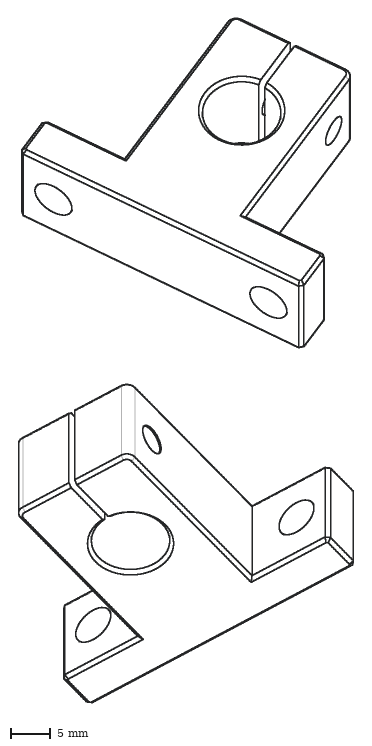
import cadquery as cq

foot_length = 42.0
foot_thickness = 6.0
stem_width = 18.0
total_height = 32.8
depth = 14.0
edge_chamfer = 0.5
stem_corner_radius = 1.25

bore_diameter = 10.0
bore_height = 20.0
slot_width = 0.9

mount_hole_diameter = 5.5
mount_hole_spacing = 32.0

screw_diameter = 4.0
screw_below_tip = 5.0
screw_recess = 0.2
screw_height = total_height - screw_below_tip


def make_body():
    """Bored foot and stem, with every rim of the two end faces chamfered."""
    foot = cq.Workplane("XY").box(foot_length, foot_thickness, depth, centered=(True, False, True))
    foot = foot.edges("|Z").chamfer(edge_chamfer)
    stem = cq.Workplane("XY").box(stem_width, total_height, depth, centered=(True, False, True))
    stem = stem.edges("|Z and >Y").fillet(stem_corner_radius)
    body = foot.union(stem).cut(make_bore())
    return body.faces("<Z or >Z").chamfer(edge_chamfer)


def make_bore():
    """Cutter for the shaft bore, through along Z."""
    return (
        cq.Workplane("XY", origin=(0, bore_height, -depth / 2))
        .circle(bore_diameter / 2)
        .extrude(depth)
    )


def make_slot():
    """Cutter for the clamping slot from the bore to the stem tip."""
    slot_length = total_height - bore_height
    return (
        cq.Workplane("XY")
        .box(slot_width, slot_length, depth, centered=(True, False, True))
        .translate((0, bore_height, 0))
    )


def make_mount_holes():
    """Cutters for the mounting holes, through the foot along Y."""
    return (
        cq.Workplane("XZ")
        .rarray(mount_hole_spacing, 1, 2, 1)
        .circle(mount_hole_diameter / 2)
        .extrude(-foot_thickness)
    )


def make_cross_cylinder(start_x):
    """Screw-sized cylinder along X, from start_x to the +X side of the stem."""
    return (
        cq.Workplane("YZ", origin=(start_x, screw_height, 0))
        .circle(screw_diameter / 2)
        .extrude(stem_width / 2 - start_x)
    )


def make_housing():
    """Clamp housing with its bore, slot, mounting holes and screw hole."""
    screw_hole = make_cross_cylinder(-stem_width / 2)
    return make_body().cut(make_slot()).cut(make_mount_holes()).cut(screw_hole)


def make_clamp_screw():
    """Plain screw across the slot, its -X end sunk slightly into the screw hole."""
    return make_cross_cylinder(-stem_width / 2 + screw_recess)


housing = make_housing()
clamp_screw = make_clamp_screw()

result = cq.Compound.makeCompound([housing.val(), clamp_screw.val()])